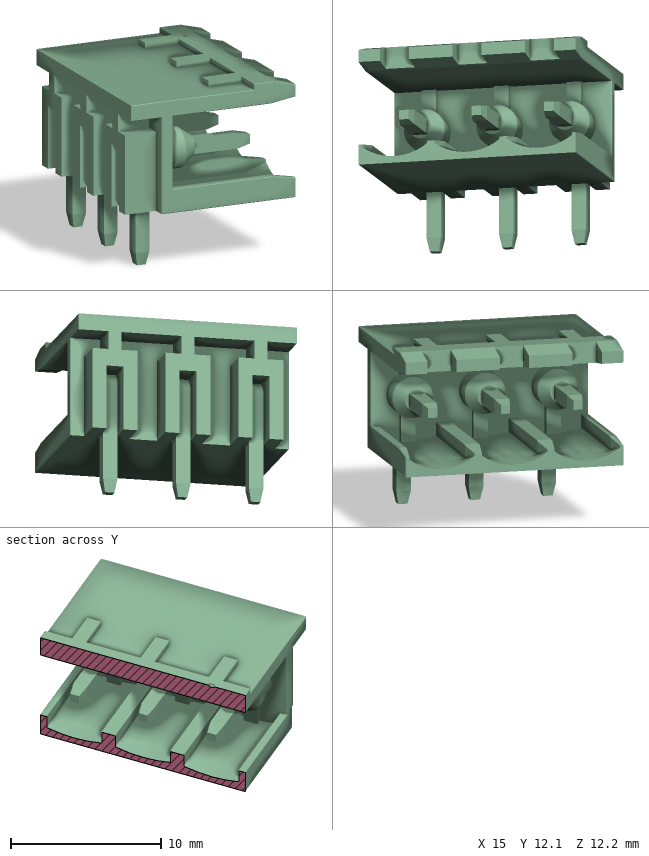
import cadquery as cq

POLES = 3
PITCH = 5.0
WIDTH = POLES * PITCH
POLE_CENTERS = [PITCH * (i + 0.5) for i in range(POLES)]

DEPTH = 12.1
TOP_Z = 8.2
PLATE_TOP_Z = 7.8
PLATE_BOTTOM_Z = 6.7
FLOOR_Z = 1.65
WALL_REAR_Y = 2.27
WALL_FRONT_Y = 3.07
LEAD_IN = 1.8
LEAD_IN_RISE = 0.28
MOUTH_BEVEL = 1.53
TOP_BAR_DEPTH = 3.06
END_CHAMFER = 0.04

TOP_RIB_WIDTH = 1.0
TOP_RIB_END_Y = DEPTH - 5.5
NOTCH_WIDTH = 2.0

MARK_WIDTH = 0.52
MARK_TIP_Y = DEPTH - 1.96
MARK_BASE_Y = DEPTH - 2.48
MARK_DEPTH = 0.1

TROUGH_WIDTH = 4.0
TROUGH_SIDE_Z = 0.72
TROUGH_BOTTOM_Z = 0.5
FLARE_LENGTH = MOUTH_BEVEL
FLARE_WIDTH = 4.5
FLARE_SIDE_Z = 1.2
FLARE_BOTTOM_Z = 0.45

NECK_WIDTH = 0.9
LEG_WIDTH = 3.1
LEG_TOP_Z = 5.48
LEG_SLOT_WIDTH = 1.15
LEG_SLOT_TOP_Z = 4.33

BOSS_RADIUS = 1.4
BOSS_NOSE_RADIUS = 0.75
BOSS_SHOULDER_Y = 4.58
BOSS_NOSE_Y = 5.51
WALL_RIB_WIDTH = 1.0
WALL_RIB_FRONT_Y = 3.48

PIN_SIZE = 1.0
PIN_AXIS_Z = 3.75
PIN_REAR_Y = WALL_REAR_Y - PIN_SIZE
PIN_FRONT_Y = DEPTH - 2.36
PIN_BOTTOM_Z = -4.0
PIN_TIP_SIZE = 0.64
PIN_TIP_LENGTH = 0.93


def block(x_center, width, y_range, z_range):
    """Box centred on x_center that spans the given Y and Z ranges."""
    y_min, y_max = y_range
    z_min, z_max = z_range
    corner = (x_center - width / 2, y_min, z_min)
    return cq.Workplane("XY").box(width, y_max - y_min, z_max - z_min, centered=False).translate(corner)


def make_shell():
    """C-shaped housing with bevelled lips and lightly chamfered end faces."""
    profile = [
        (WALL_REAR_Y, 0),
        (DEPTH, 0),
        (DEPTH, FLOOR_Z - LEAD_IN_RISE),
        (DEPTH - LEAD_IN, FLOOR_Z),
        (WALL_FRONT_Y, FLOOR_Z),
        (WALL_FRONT_Y, PLATE_BOTTOM_Z),
        (DEPTH - LEAD_IN, PLATE_BOTTOM_Z),
        (DEPTH, PLATE_BOTTOM_Z + LEAD_IN_RISE),
        (DEPTH, PLATE_TOP_Z),
        (DEPTH - MOUTH_BEVEL, TOP_Z),
        (DEPTH - TOP_BAR_DEPTH, TOP_Z),
        (DEPTH - TOP_BAR_DEPTH, PLATE_TOP_Z),
        (0, PLATE_TOP_Z),
        (0, PLATE_BOTTOM_Z),
        (WALL_REAR_Y, PLATE_BOTTOM_Z),
    ]
    shell = cq.Workplane("YZ").polyline(profile).close().extrude(WIDTH)
    return shell.faces("<X or >X").chamfer(END_CHAMFER)


def trough_section(plane, x, width, side_z, bottom_z):
    """U-shaped section with straight sides and a dished bottom, open above the floor."""
    half = width / 2
    return (
        plane.moveTo(x - half, FLOOR_Z)
        .lineTo(x - half, side_z)
        .threePointArc((x, bottom_z), (x + half, side_z))
        .lineTo(x + half, FLOOR_Z)
        .close()
    )


def make_trough(x):
    """Straight trough that widens toward the mouth."""
    straight_length = DEPTH - FLARE_LENGTH - WALL_FRONT_Y
    rear_plane = cq.Workplane("XZ", origin=(0, WALL_FRONT_Y, 0))
    straight = trough_section(rear_plane, x, TROUGH_WIDTH, TROUGH_SIDE_Z, TROUGH_BOTTOM_Z)
    straight = straight.extrude(-straight_length)
    flare = cq.Workplane("XZ", origin=(0, DEPTH - FLARE_LENGTH, 0))
    flare = trough_section(flare, x, TROUGH_WIDTH, TROUGH_SIDE_Z, TROUGH_BOTTOM_Z)
    flare = flare.workplane(offset=-FLARE_LENGTH)
    flare = trough_section(flare, x, FLARE_WIDTH, FLARE_SIDE_Z, FLARE_BOTTOM_Z).loft(ruled=True)
    return straight.union(flare)


def make_notch(x):
    """Notch through the front lip of the top plate."""
    return block(x, NOTCH_WIDTH, (DEPTH - MOUTH_BEVEL, DEPTH), (PLATE_BOTTOM_Z, TOP_Z))


def make_pole_mark(x):
    """Triangle sunk into the top bar, pointing at the mouth."""
    outline = [
        (x - MARK_WIDTH / 2, MARK_BASE_Y),
        (x + MARK_WIDTH / 2, MARK_BASE_Y),
        (x, MARK_TIP_Y),
    ]
    return cq.Workplane("XY", origin=(0, 0, TOP_Z)).polyline(outline).close().extrude(-MARK_DEPTH)


def make_top_rib(x):
    return block(x, TOP_RIB_WIDTH, (TOP_RIB_END_Y, DEPTH - TOP_BAR_DEPTH), (PLATE_TOP_Z, TOP_Z))


def make_leg(x):
    """Slotted leg hung from the top plate by a narrow neck."""
    y_range = (0, WALL_REAR_Y)
    neck = block(x, NECK_WIDTH, y_range, (LEG_TOP_Z, PLATE_BOTTOM_Z))
    leg = block(x, LEG_WIDTH, y_range, (0, LEG_TOP_Z))
    slot = block(x, LEG_SLOT_WIDTH, y_range, (0, LEG_SLOT_TOP_Z))
    return neck.union(leg).cut(slot)


def make_boss(x):
    """Cylindrical boss with a conical nose around the contact pin."""
    return (
        cq.Workplane("XY")
        .moveTo(0, WALL_REAR_Y)
        .lineTo(BOSS_RADIUS, WALL_REAR_Y)
        .lineTo(BOSS_RADIUS, BOSS_SHOULDER_Y)
        .lineTo(BOSS_NOSE_RADIUS, BOSS_NOSE_Y)
        .lineTo(0, BOSS_NOSE_Y)
        .close()
        .revolve(360, (0, 0, 0), (0, 1, 0))
        .translate((x, 0, PIN_AXIS_Z))
    )


def make_wall_rib(x):
    return block(x, WALL_RIB_WIDTH, (WALL_REAR_Y, WALL_RIB_FRONT_Y), (TROUGH_BOTTOM_Z, PLATE_BOTTOM_Z))


def make_pin_tip(plane):
    """Square taper that starts on the given plane."""
    return (
        plane.rect(PIN_SIZE, PIN_SIZE)
        .workplane(offset=PIN_TIP_LENGTH)
        .rect(PIN_TIP_SIZE, PIN_TIP_SIZE)
        .loft()
    )


def make_pin(x):
    """Square pin bent at a right angle, tapered at both ends."""
    top_z = PIN_AXIS_Z + PIN_SIZE / 2
    bend_z = PIN_AXIS_Z - PIN_SIZE / 2
    inner_y = PIN_REAR_Y + PIN_SIZE
    shank_bottom_z = PIN_BOTTOM_Z + PIN_TIP_LENGTH
    shank_front_y = PIN_FRONT_Y - PIN_TIP_LENGTH
    shank = (
        cq.Workplane("YZ", origin=(x - PIN_SIZE / 2, 0, 0))
        .moveTo(PIN_REAR_Y, shank_bottom_z)
        .lineTo(PIN_REAR_Y, bend_z)
        .radiusArc((inner_y, top_z), PIN_SIZE)
        .lineTo(shank_front_y, top_z)
        .lineTo(shank_front_y, bend_z)
        .lineTo(inner_y, bend_z)
        .lineTo(inner_y, shank_bottom_z)
        .close()
        .extrude(PIN_SIZE)
    )
    front_plane = cq.Workplane("XZ", origin=(x, shank_front_y, PIN_AXIS_Z)).transformed(rotate=(0, 180, 0))
    bottom_plane = cq.Workplane("XY", origin=(x, PIN_REAR_Y + PIN_SIZE / 2, shank_bottom_z))
    bottom_plane = bottom_plane.transformed(rotate=(180, 0, 0))
    return shank.union(make_pin_tip(front_plane)).union(make_pin_tip(bottom_plane))


result = make_shell().cut(make_pole_mark(POLE_CENTERS[0]))
for pole_x in POLE_CENTERS:
    result = result.cut(make_trough(pole_x)).cut(make_notch(pole_x))
    for feature in (make_top_rib, make_leg, make_wall_rib, make_boss, make_pin):
        result = result.union(feature(pole_x))